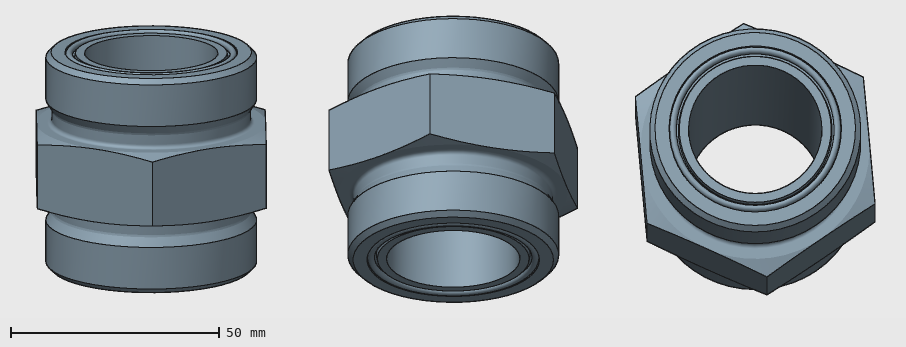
import cadquery as cq
import math

hex_across_corners = 63.5
hex_across_flats = hex_across_corners * math.cos(math.pi / 6)
hex_half_height = 9.1
hex_chamfer_angle = 15.0

end_face_z = 26.7
bore_radius = 32.0 / 2
spigot_radius = 50.7 / 2
spigot_base_z = 15.05
end_chamfer = 1.3
neck_radius = 47.75 / 2
neck_cone_end_z = 12.7
neck_fillet = 1.0

groove_outer_radius = 20.7
groove_foot_radius = 41.15 / 2
lip_radius = 36.45 / 2
lip_drop = 0.25
lip_foot_radius = 18.5

ring_section_radius = 0.8
ring_protrusion = 0.22
ring_center_radius = groove_foot_radius - ring_section_radius
ring_center_z = end_face_z + ring_protrusion - ring_section_radius
groove_floor_z = ring_center_z - ring_section_radius


def revolve_profile(points):
    """Revolve a closed outline of (radius, z) points about the Z axis."""
    outline = cq.Workplane("XZ").polyline(points).close()
    return outline.revolve(360, (0, 0, 0), (0, 1, 0))


def make_hexagon():
    """Hexagon with corners on +/-Y, its corners chamfered by a cone at both ends."""
    prism = (
        cq.Workplane("XY")
        .polygon(6, hex_across_corners)
        .extrude(2 * hex_half_height)
        .rotate((0, 0, 0), (0, 0, 1), 90)
        .translate((0, 0, -hex_half_height))
    )
    flat_radius = hex_across_flats / 2
    corner_radius = hex_across_corners / 2
    corner_drop = (corner_radius - flat_radius) * math.tan(math.radians(hex_chamfer_angle))
    corner_z = hex_half_height - corner_drop
    envelope = revolve_profile([
        (0, -hex_half_height),
        (flat_radius, -hex_half_height),
        (corner_radius, -corner_z),
        (corner_radius, corner_z),
        (flat_radius, hex_half_height),
        (0, hex_half_height),
    ])
    return prism.intersect(envelope)


def make_spigot():
    """Upper spigot with its end chamfer and the relieved neck below it."""
    spigot = revolve_profile([
        (0, 0),
        (neck_radius, 0),
        (neck_radius, neck_cone_end_z),
        (spigot_radius, spigot_base_z),
        (spigot_radius, end_face_z - end_chamfer),
        (spigot_radius - end_chamfer, end_face_z),
        (0, end_face_z),
    ])
    neck_edge = cq.selectors.NearestToPointSelector((0, 0, neck_cone_end_z))
    return spigot.edges("%CIRCLE").edges(neck_edge).fillet(neck_fillet)


def make_neck_fillet():
    """Concave ring blending the neck into the top of the hexagon."""
    top_z = hex_half_height + neck_fillet
    outer_radius = neck_radius + neck_fillet
    arc_offset = neck_fillet * (1 - math.sqrt(0.5))
    return (
        cq.Workplane("XZ")
        .moveTo(bore_radius, 0)
        .lineTo(outer_radius, 0)
        .lineTo(outer_radius, hex_half_height)
        .threePointArc((neck_radius + arc_offset, hex_half_height + arc_offset), (neck_radius, top_z))
        .lineTo(bore_radius, top_z)
        .close()
        .revolve(360, (0, 0, 0), (0, 1, 0))
    )


def make_groove_cutter():
    """Material removed above the lip and inside the upper seal groove."""
    lip_z = end_face_z - lip_drop
    return revolve_profile([
        (0, end_face_z),
        (0, lip_z),
        (lip_radius, lip_z),
        (lip_foot_radius, groove_floor_z),
        (groove_foot_radius, groove_floor_z),
        (groove_outer_radius, end_face_z),
    ])


def make_fitting():
    """Hexagon body with a spigot and seal groove at each end and a through bore."""
    end = make_spigot().union(make_neck_fillet()).cut(make_groove_cutter())
    body = make_hexagon().union(end).union(end.mirror("XY"))
    bore = cq.Workplane("XY").circle(bore_radius).extrude(end_face_z, both=True)
    return body.cut(bore)


def make_seal_ring(side):
    """O-ring at the upper (side = 1) or lower (side = -1) end."""
    return (
        cq.Workplane("XZ")
        .center(ring_center_radius, side * ring_center_z)
        .circle(ring_section_radius)
        .revolve(360, (-ring_center_radius, 0, 0), (-ring_center_radius, 1, 0))
    )


fitting = make_fitting()
seal_rings = [make_seal_ring(side) for side in (1, -1)]

result = cq.Compound.makeCompound([fitting.val(), *[ring.val() for ring in seal_rings]])